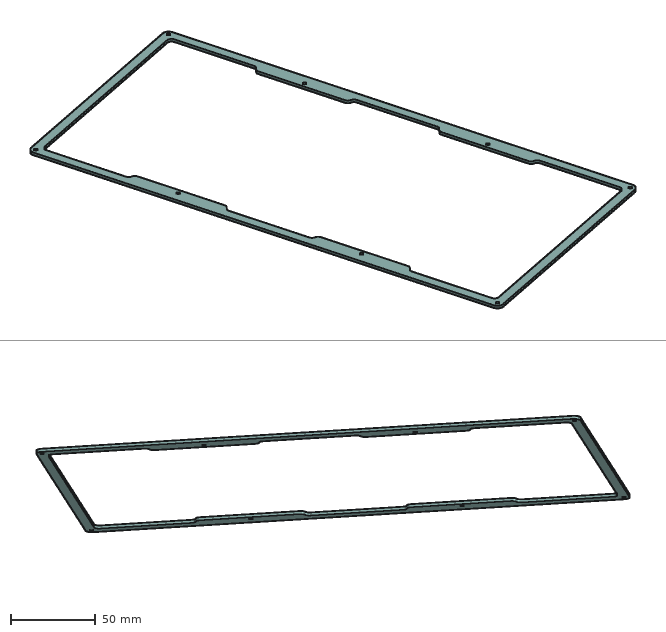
import cadquery as cq
import math

length = 329.56
width = 156.84
thickness = 2.0
outer_corner_radius = 4.0

rail_width = 6.28
window_corner_radius = 3.0
window_length = length - 2 * rail_width
window_width = width - 2 * rail_width

tab_spacing = 128.0
tab_length = 66.25
tab_depth = 3.9
tab_end_radius = 3.0
tab_end_half_run = math.sqrt(tab_depth * tab_end_radius - tab_depth**2 / 4)

hole_diameter = 2.2
corner_hole_inset = 3.5
tab_hole_inset = 7.0


def make_frame():
    """Flat rectangular frame with rounded outer and inner corners."""
    plate = cq.Workplane("XY").rect(length, width).extrude(thickness)
    plate = plate.edges("|Z").fillet(outer_corner_radius)
    window = cq.Workplane("XY").rect(window_length, window_width).extrude(thickness)
    window = window.edges("|Z").fillet(window_corner_radius)
    return plate.cut(window)


def make_tab(center_x, side):
    """Tab with S-shaped ends on the long rail at +Y (side = 1) or -Y (side = -1)."""
    root_y = side * window_width / 2
    middle_y = root_y - side * tab_depth / 2
    tip_y = root_y - side * tab_depth
    left_x = center_x - tab_length / 2
    right_x = center_x + tab_length / 2
    arc_radius = side * tab_end_radius
    outline = (
        cq.Workplane("XY")
        .moveTo(left_x - tab_end_half_run, root_y)
        .radiusArc((left_x, middle_y), arc_radius)
        .radiusArc((left_x + tab_end_half_run, tip_y), -arc_radius)
        .lineTo(right_x - tab_end_half_run, tip_y)
        .radiusArc((right_x, middle_y), -arc_radius)
        .radiusArc((right_x + tab_end_half_run, root_y), arc_radius)
        .close()
    )
    return outline.extrude(thickness)


def drill(body, x_offset, inset):
    """Four through holes, mirrored about both center lines."""
    y_offset = width / 2 - inset
    points = [(x, y) for x in (-x_offset, x_offset) for y in (-y_offset, y_offset)]
    holes = cq.Workplane("XY").pushPoints(points).circle(hole_diameter / 2).extrude(thickness)
    return body.cut(holes)


result = make_frame()
for tab_side in (-1, 1):
    for tab_x in (-tab_spacing / 2, tab_spacing / 2):
        result = result.union(make_tab(tab_x, tab_side))
result = drill(result, length / 2 - corner_hole_inset, corner_hole_inset)
result = drill(result, tab_spacing / 2, tab_hole_inset)